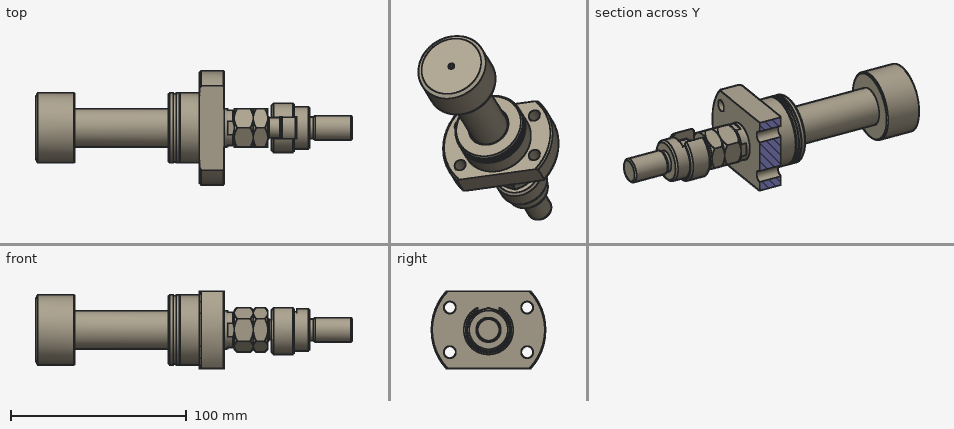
import cadquery as cq
import math


CAP_LENGTH = 22.3
CAP_RADIUS = 20.0
CAP_FRONT_CHAMFER_LENGTH = 1.3
CAP_FRONT_CHAMFER_DEPTH = 2.3
CAP_REAR_CHAMFER = 0.7
ROD_RADIUS = 11.0
NECK_START = 109.0
NECK_RADIUS = 10.8
NECK_HALF_FLATS = 10.0
SHOULDER_CHAMFER_LENGTH = 1.0
ROD_END = 112.9
ROD_END_CHAMFER = 0.7
CENTRE_DRILL_RADIUS = 1.0
CENTRE_DRILL_DEPTH = 3.6
COUNTERSINK_RADIUS = 1.8

BUSHING_START = 75.5
BUSHING_RADIUS = CAP_RADIUS
BUSHING_CHAMFER = 0.9
BORE_CHAMFER = 0.9
GROOVES = ((78.3, 80.0, 0.5), (81.5, 82.3, 0.2))
FLANGE_START = 93.0
FLANGE_END = 107.1
FLANGE_DIAMETER = 65.0
FLANGE_HEIGHT = 44.0
FLANGE_FRONT_CHAMFER = 1.0
FLANGE_REAR_CHAMFER = 0.5
BOLT_CIRCLE_RADIUS = 25.4
BOLT_HOLE_DIAMETER = 6.7
BOLT_ANGLE = 30

HEX_SIDES = 6
HEX_HALF_FLATS = ROD_RADIUS
HEX_END_RADIUS = HEX_HALF_FLATS
HEX_SPLIT = 123.7
HEX_END = 132.0
SHANK_RADIUS = 5.8
SHANK_ROOT_CONE = 0.9
HEAD_START = 139.5
HEAD_END = 147.6
HEAD_RADIUS = 9.2
HEAD_CHAMFER = 0.7
HEAD_ROOT_CONE = 0.9

SOCKET_START = 134.0
LARGE_RADIUS = 14.0
LARGE_END = 147.0
LARGE_FRONT_CHAMFER = 1.5
LARGE_REAR_CHAMFER = 1.0
SMALL_RADIUS = 12.0
SMALL_END = 155.9
SMALL_CHAMFER = 1.0
UNDERCUT_RADIUS = 6.3
TAIL_RADIUS = 7.0
TAIL_START = 159.0
TAIL_CONE_LENGTH = 1.0
TAIL_CHAMFER = 0.9
TOTAL_LENGTH = 180.0
SLOT_HALF_WIDTH = 6.1
SLOT_END = 148.3
HEAD_CLEARANCE = 0.4


def turned(profile):
    """Solid of revolution about X from (x, radius) points; the axis closes the outline."""
    first_x = profile[0][0]
    last_x = profile[-1][0]
    outline = [(first_x, 0), *profile, (last_x, 0)]
    return cq.Workplane("XY").polyline(outline).close().revolve(360, (0, 0, 0), (1, 0, 0))


def cylinder(start, end, radius):
    return turned([(start, radius), (end, radius)])


def box(start, end, width, height):
    """Box from start to end along X, centred on the axis."""
    return cq.Workplane("YZ", origin=(start, 0, 0)).rect(width, height).extrude(end - start)


def make_rod():
    cap_and_shaft = turned([
        (0, CAP_RADIUS - CAP_FRONT_CHAMFER_DEPTH),
        (CAP_FRONT_CHAMFER_LENGTH, CAP_RADIUS),
        (CAP_LENGTH - CAP_REAR_CHAMFER, CAP_RADIUS),
        (CAP_LENGTH, CAP_RADIUS - CAP_REAR_CHAMFER),
        (CAP_LENGTH, ROD_RADIUS),
        (NECK_START - SHOULDER_CHAMFER_LENGTH, ROD_RADIUS),
        (NECK_START, NECK_RADIUS),
    ])
    neck = turned([
        (NECK_START, NECK_RADIUS),
        (ROD_END - ROD_END_CHAMFER, NECK_RADIUS),
        (ROD_END, NECK_RADIUS - ROD_END_CHAMFER),
    ])
    flats = box(NECK_START, ROD_END, 2 * NECK_HALF_FLATS, 2 * NECK_HALF_FLATS)
    countersink_depth = COUNTERSINK_RADIUS - CENTRE_DRILL_RADIUS
    centre_drill = turned([
        (0, COUNTERSINK_RADIUS),
        (countersink_depth, CENTRE_DRILL_RADIUS),
        (CENTRE_DRILL_DEPTH, CENTRE_DRILL_RADIUS),
    ])
    return cap_and_shaft.union(neck.intersect(flats)).cut(centre_drill)


def make_bushing():
    sleeve = turned([
        (BUSHING_START, BUSHING_RADIUS - BUSHING_CHAMFER),
        (BUSHING_START + BUSHING_CHAMFER, BUSHING_RADIUS),
        (FLANGE_END, BUSHING_RADIUS),
    ])
    for start, end, depth in GROOVES:
        ring = cylinder(start, end, BUSHING_RADIUS).cut(cylinder(start, end, BUSHING_RADIUS - depth))
        sleeve = sleeve.cut(ring)

    flange_radius = FLANGE_DIAMETER / 2
    disc = turned([
        (FLANGE_START, flange_radius - FLANGE_FRONT_CHAMFER),
        (FLANGE_START + FLANGE_FRONT_CHAMFER, flange_radius),
        (FLANGE_END - FLANGE_REAR_CHAMFER, flange_radius),
        (FLANGE_END, flange_radius - FLANGE_REAR_CHAMFER),
    ])
    flange = disc.intersect(box(FLANGE_START, FLANGE_END, FLANGE_DIAMETER, FLANGE_HEIGHT))

    hole_y = BOLT_CIRCLE_RADIUS * math.cos(math.radians(BOLT_ANGLE))
    hole_z = BOLT_CIRCLE_RADIUS * math.sin(math.radians(BOLT_ANGLE))
    bolt_holes = (
        cq.Workplane("YZ", origin=(FLANGE_START, 0, 0))
        .rect(2 * hole_y, 2 * hole_z, forConstruction=True)
        .vertices()
        .circle(BOLT_HOLE_DIAMETER / 2)
        .extrude(FLANGE_END - FLANGE_START)
    )
    bore = turned([
        (BUSHING_START, ROD_RADIUS + BORE_CHAMFER),
        (BUSHING_START + BORE_CHAMFER, ROD_RADIUS),
        (FLANGE_END, ROD_RADIUS),
    ])
    return sleeve.union(flange).cut(bolt_holes).cut(bore)


def make_hexagon(start, end):
    """Hexagon with corners at +Z and -Z, its corners chamfered at both ends."""
    corner_radius = HEX_HALF_FLATS / math.cos(math.pi / HEX_SIDES)
    chamfer_length = corner_radius - HEX_END_RADIUS
    prism = (
        cq.Workplane("YZ", origin=(start, 0, 0))
        .polygon(HEX_SIDES, 2 * corner_radius)
        .extrude(end - start)
        .rotate((0, 0, 0), (1, 0, 0), 90)
    )
    envelope = turned([
        (start, HEX_END_RADIUS),
        (start + chamfer_length, corner_radius),
        (end - chamfer_length, corner_radius),
        (end, HEX_END_RADIUS),
    ])
    return prism.intersect(envelope)


def make_stud():
    shank_and_head = turned([
        (HEX_END, SHANK_RADIUS + SHANK_ROOT_CONE),
        (HEX_END + SHANK_ROOT_CONE, SHANK_RADIUS),
        (HEAD_START - HEAD_ROOT_CONE, SHANK_RADIUS),
        (HEAD_START, SHANK_RADIUS + HEAD_ROOT_CONE),
        (HEAD_START, HEAD_RADIUS - HEAD_CHAMFER),
        (HEAD_START + HEAD_CHAMFER, HEAD_RADIUS),
        (HEAD_END, HEAD_RADIUS),
    ])
    front_hexagon = make_hexagon(ROD_END, HEX_SPLIT)
    rear_hexagon = make_hexagon(HEX_SPLIT, HEX_END)
    return front_hexagon.union(rear_hexagon).union(shank_and_head)


def make_socket():
    body = turned([
        (SOCKET_START, LARGE_RADIUS - LARGE_FRONT_CHAMFER),
        (SOCKET_START + LARGE_FRONT_CHAMFER, LARGE_RADIUS),
        (LARGE_END - LARGE_REAR_CHAMFER, LARGE_RADIUS),
        (LARGE_END, LARGE_RADIUS - LARGE_REAR_CHAMFER),
        (LARGE_END, SMALL_RADIUS),
        (SMALL_END - SMALL_CHAMFER, SMALL_RADIUS),
        (SMALL_END, SMALL_RADIUS - SMALL_CHAMFER),
        (SMALL_END, UNDERCUT_RADIUS),
        (TAIL_START - TAIL_CONE_LENGTH, UNDERCUT_RADIUS),
        (TAIL_START, TAIL_RADIUS),
        (TOTAL_LENGTH - TAIL_CHAMFER, TAIL_RADIUS),
        (TOTAL_LENGTH, TAIL_RADIUS - TAIL_CHAMFER),
    ])
    slot_floor = cylinder(SOCKET_START, SLOT_END, SLOT_HALF_WIDTH)
    slot = box(SOCKET_START, SLOT_END, 2 * SLOT_HALF_WIDTH, LARGE_RADIUS).translate((0, 0, LARGE_RADIUS / 2))
    pocket = cylinder(HEAD_START - HEAD_ROOT_CONE, SLOT_END, HEAD_RADIUS + HEAD_CLEARANCE)
    return body.cut(slot_floor).cut(slot).cut(pocket)


rod = make_rod()
bushing = make_bushing()
stud = make_stud()
socket = make_socket()

result = cq.Compound.makeCompound([rod.val(), bushing.val(), stud.val(), socket.val()])